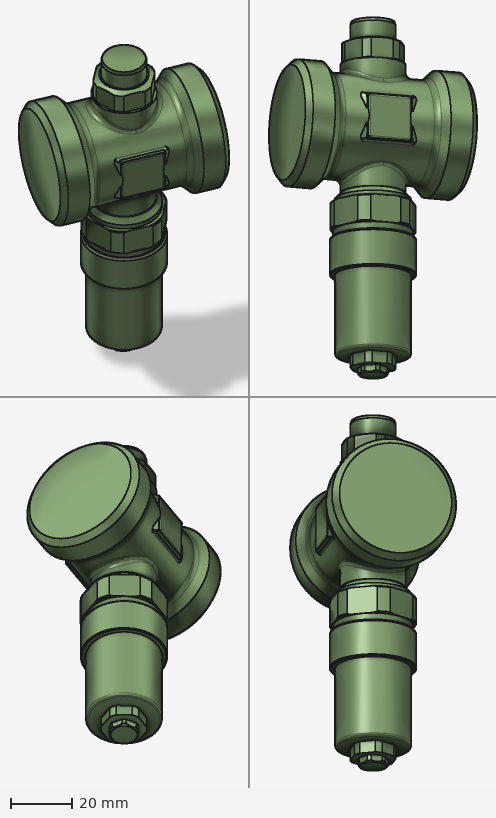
import cadquery as cq
import math


pipe_length = 59.0
pipe_radius = 17.5
flange_radius = 20.9
flange_width = 9.6
flange_chamfer = 2.0
pipe_blend_radius = 3.0

pad_width = 15.5
pad_rise = 0.06
pad_face_distance = pipe_radius + pad_rise
pad_edge_radius = 1.0
pad_foot_radius = 2.5
pad_foot_width = 15.0
pad_foot_corner_radius = 2.0
pad_foot_top = pad_face_distance - 0.2
pad_foot_sink = 0.06
pad_foot_length = 19.2
pad_foot_height = 17.1

neck_radius = 10.7
neck_blend_radius = 1.9
cap_top = 36.0
cap_radius = 7.5
cap_edge_inset = 0.4
cap_edge_drop = 1.1
upper_hex_top = 29.3
upper_hex_bottom = 21.6
upper_hex_flats = 19.2
upper_hex_corners = 20.7
upper_hex_cone_radius = 8.1
upper_hex_cone_drop = 1.0

lower_neck_bottom = -21.6
collar_shoulder = -23.6
collar_radius = 12.5
collar_top_radius = 10.5
barrel_radius = collar_radius
lower_hex_top = -25.2
lower_hex_bottom = -34.3
lower_hex_flats = 26.5
lower_hex_corners = 28.4
hex_edge_chamfer = 0.4
sleeve_top = -36.6
sleeve_bottom = -49.2
sleeve_radius = 14.1
groove_radius = 13.1
sleeve_top_chamfer = 0.7
sleeve_bottom_chamfer = 0.4
barrel_bottom = -76.3
barrel_edge_radius = 1.0

lock_nut_bottom = -80.3
lock_nut_flats = 14.0
lock_nut_corners = 15.0
screw_bottom = cap_top - 118.8
screw_flats = 9.1
screw_corners = 9.9
screw_chamfer = 0.6


def cylinder(bottom, top, radius):
    return cq.Workplane("XY").workplane(offset=bottom).circle(radius).extrude(top - bottom)


def hexagon(bottom, top, flats, turn):
    """Hexagonal prism with flats facing +-Y, turned about Z by the given angle."""
    full_corners = flats / math.cos(math.radians(30))
    prism = cq.Workplane("XY").workplane(offset=bottom).polygon(6, full_corners).extrude(top - bottom)
    return prism.rotate((0, 0, 0), (0, 0, 1), turn)


def flanged_pipe():
    half = pipe_length / 2
    flange_inner = half - flange_width
    cone_end = flange_inner - (flange_radius - pipe_radius)
    blend_run = pipe_blend_radius * math.tan(math.radians(22.5))
    blend_rise = blend_run * math.sin(math.radians(45))
    blend_start = cone_end - blend_run
    blend_end = cone_end + blend_rise
    arc_angle = math.radians(22.5)
    blend_middle = (
        pipe_radius + pipe_blend_radius * (1 - math.cos(arc_angle)),
        blend_start + pipe_blend_radius * math.sin(arc_angle),
    )
    half_pipe = (
        cq.Workplane("XY")
        .lineTo(pipe_radius, 0)
        .lineTo(pipe_radius, blend_start)
        .threePointArc(blend_middle, (pipe_radius + blend_rise, blend_end))
        .lineTo(flange_radius, flange_inner)
        .lineTo(flange_radius, half - flange_chamfer)
        .lineTo(flange_radius - flange_chamfer, half)
        .lineTo(0, half)
        .close()
        .revolve(360, (0, 0, 0), (0, 1, 0))
    )
    return half_pipe.union(half_pipe.mirror("XZ"))


def label_pad():
    """Pad on the +X side: a rounded square block standing on a flared foot that narrows at mid-height."""
    half = pad_width / 2
    block = (
        cq.Workplane("XY")
        .box(pad_face_distance, pad_width, pad_width, centered=(False, True, True))
        .faces(">X").edges().fillet(pad_edge_radius)
    )

    foot_half = pad_foot_width / 2
    waist = foot_half - pad_foot_radius
    hourglass = (
        cq.Workplane("YZ")
        .polyline([
            (foot_half, foot_half), (waist, 0), (foot_half, -foot_half),
            (-foot_half, -foot_half), (-waist, 0), (-foot_half, foot_half),
        ])
        .close()
        .extrude(pad_face_distance + 2 * pad_foot_radius)
    )
    base_radius = pipe_radius - pad_foot_sink
    base = (
        cq.Workplane("XZ")
        .circle(base_radius)
        .extrude(pad_width, both=True)
        .rotate((0, 0, 0), (0, 1, 0), 180)
    )
    joint_zone = cq.selectors.BoxSelector(
        (base_radius / 2, -pad_width, -pad_width),
        (base_radius + 0.1, pad_width, pad_width),
    )
    flared = base.union(hourglass).edges(joint_zone).fillet(pad_foot_radius)
    foot_limit = (
        cq.Workplane("XY")
        .box(pad_foot_top, pad_foot_length, pad_foot_height, centered=(False, True, True))
        .edges("|X").fillet(pad_foot_corner_radius)
    )
    return block.union(flared.intersect(foot_limit))


def pipe_with_necks():
    """Flanged pipe joined to both necks, with a rounded blend along each joint."""
    joint_zone = cq.selectors.BoxSelector(
        (-neck_radius - 1.2, -neck_radius - 1.2, lower_neck_bottom + 1.2),
        (neck_radius + 1.2, neck_radius + 1.2, upper_hex_bottom - 1.2),
    )
    necks = cylinder(lower_neck_bottom, upper_hex_bottom, neck_radius)
    return flanged_pipe().union(necks).edges(joint_zone).fillet(neck_blend_radius)


def upper_stack():
    """Hexagon with a conical top face, and the round cap standing on it."""
    cap = (
        cylinder(upper_hex_bottom, cap_top, cap_radius)
        .faces(">Z").chamfer(cap_edge_drop, cap_edge_inset)
    )
    corner_radius = upper_hex_corners / 2
    envelope = (
        cylinder(upper_hex_bottom, upper_hex_top, corner_radius)
        .faces(">Z").chamfer(upper_hex_cone_drop, corner_radius - upper_hex_cone_radius)
        .faces("<Z").chamfer(hex_edge_chamfer)
    )
    nut = hexagon(upper_hex_bottom, upper_hex_top, upper_hex_flats, 30).intersect(envelope)
    return cap.union(nut)


def lower_stack():
    """Collar, hexagon, sleeve and barrel, from the lower neck downwards."""
    collar = (
        cylinder(lower_hex_top, lower_neck_bottom, collar_radius)
        .faces(">Z").chamfer(lower_neck_bottom - collar_shoulder, collar_radius - collar_top_radius)
    )
    envelope = (
        cylinder(lower_hex_bottom, lower_hex_top, lower_hex_corners / 2)
        .faces("<Z or >Z").chamfer(hex_edge_chamfer)
    )
    nut = hexagon(lower_hex_bottom, lower_hex_top, lower_hex_flats, 30).intersect(envelope)
    groove = cylinder(sleeve_top, lower_hex_bottom, groove_radius)
    sleeve = (
        cylinder(sleeve_bottom, sleeve_top, sleeve_radius)
        .faces(">Z").chamfer(sleeve_top_chamfer)
        .faces("<Z").chamfer(sleeve_bottom_chamfer)
    )
    barrel = (
        cylinder(barrel_bottom, sleeve_bottom, barrel_radius)
        .faces("<Z").edges().fillet(barrel_edge_radius)
    )
    return collar.union(nut).union(groove).union(sleeve).union(barrel)


def adjusting_screw():
    """Lock nut under the barrel and the chamfered hexagon head of the screw below it."""
    lock_envelope = cylinder(lock_nut_bottom, barrel_bottom, lock_nut_corners / 2)
    lock_nut = hexagon(lock_nut_bottom, barrel_bottom, lock_nut_flats, 30).intersect(lock_envelope)
    head_envelope = (
        cylinder(screw_bottom, lock_nut_bottom, screw_corners / 2).faces("<Z").chamfer(screw_chamfer)
    )
    head = hexagon(screw_bottom, lock_nut_bottom, screw_flats, 0).intersect(head_envelope)
    return lock_nut.union(head)


pad = label_pad()
result = (
    pipe_with_necks()
    .union(pad)
    .union(pad.mirror("YZ"))
    .union(upper_stack())
    .union(lower_stack())
    .union(adjusting_screw())
)